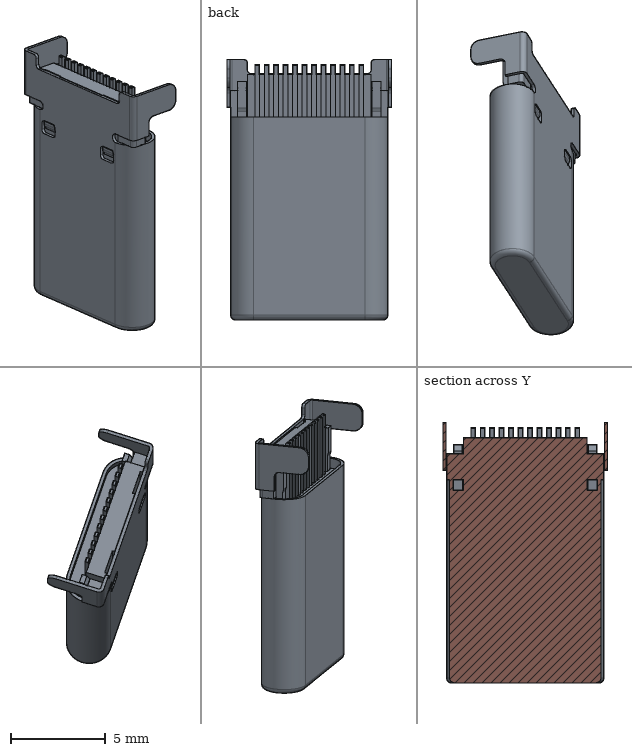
import cadquery as cq


shell_width = 8.3
shell_depth = 2.4
shell_top = 10.72
sheet = 0.18
nose_fillet = 0.28
mouth_depth = 0.55
front_y = -shell_depth / 2
plate_inner_y = front_y + sheet
shell_flat_half = (shell_width - shell_depth) / 2

cover_width = 8.7
cover_top = 13.75
cover_bottom = 11.22
bend_radius = 0.29
ear_reach = 3.05
ear_height = 1.47
ear_corner = 0.5
neck_back_y = -0.07
neck_fillet = 0.3
notch_half = 3.26
notch_depth = 0.74
notch_fillet = 0.19
ear_bottom = cover_top - ear_height
notch_floor = cover_top - notch_depth

slot_height = cover_bottom - shell_top
slot_end_x = 2.74

block_top = 12.95
block_clearance = 0.03
block_front_y = plate_inner_y + block_clearance
block_bottom = shell_top - mouth_depth
block_half = 3.26
block_back_y = 0.05
shoulder_half = cover_width / 2 - sheet - block_clearance
shoulder_top = 12.1
shoulder_back_y = -0.16
shoulder_fillet = 0.2

groove_width = 1.26
groove_depth = 0.12
groove_x = shell_flat_half - groove_width / 2

pin_count = 12
pin_row_length = 5.5
pin_pitch = pin_row_length / (pin_count - 1)
pin_width = 0.25
pin_depth = 0.2
pin_top = 13.48
pin_chamfer = 0.04

finger_x = 3.55
finger_width = 0.45
finger_top = 12.58
finger_bevel_height = 0.33
finger_bevel_depth = 0.16
finger_foot_step = 0.05
finger_step_top = 11.19
finger_step_bottom = 11.01

window_x = 2.3
window_width = 1.03
window_bottom = 9.45
window_top = 10.18
window_fillet = 0.19
barb_width = 0.81
barb_bottom = 9.68
barb_flat_bottom = 9.91
barb_height = 0.12
barb_round = 0.3

SIDES = (-1, 1)


def box(x_min, x_max, y_min, y_max, z_min, z_max):
    """Axis-aligned block between the given limits."""
    size = (x_max - x_min, y_max - y_min, z_max - z_min)
    return cq.Workplane("XY").box(*size, centered=False).translate((x_min, y_min, z_min))


def make_shell():
    """Round-sided shell with a rounded nose and a shallow open rim."""
    body = cq.Workplane("XY").slot2D(shell_width, shell_depth).extrude(shell_top)
    body = body.edges("<Z").fillet(nose_fillet)
    mouth = (
        cq.Workplane("XY", origin=(0, 0, shell_top - mouth_depth))
        .slot2D(shell_width - 2 * sheet, shell_depth - 2 * sheet)
        .extrude(mouth_depth)
    )
    return body.cut(mouth)


def make_cover():
    """Sheet folded to a U, trimmed to the ear profile and notched at the top."""
    half = cover_width / 2
    back_y = front_y + ear_reach
    cover = box(-half, half, front_y, back_y, shell_top, cover_top)
    cover = cover.edges("|Z and <Y").fillet(bend_radius)
    inside = box(-half + sheet, half - sheet, plate_inner_y, back_y, shell_top, cover_top)
    cover = cover.cut(inside.edges("|Z and <Y").fillet(bend_radius - sheet))

    ear_gap = box(-half, half, neck_back_y, back_y, shell_top, ear_bottom)
    ear_gap = ear_gap.edges("|X and <Y and >Z").fillet(neck_fillet)
    cover = cover.cut(ear_gap)
    cover = cover.edges("|X and >Y").fillet(ear_corner)

    notch = box(-notch_half, notch_half, front_y, plate_inner_y, notch_floor, cover_top)
    notch = notch.edges("|Y and <Z").fillet(notch_fillet)
    cover = cover.cut(notch)
    horn_corners = cq.selectors.BoxSelector(
        (-notch_half - sheet / 2, front_y - sheet, cover_top - sheet / 2),
        (notch_half + sheet / 2, front_y + 2 * sheet, cover_top + sheet / 2),
    )
    cover = cover.edges("|Y").edges(horn_corners).fillet(notch_fillet)

    for side in SIDES:
        cover = cover.cut(make_relief(side))
    return cover


def make_relief(side):
    """Round-ended slot that frees the cover from the shell on one side."""
    reach = cover_width / 2 + slot_height - slot_end_x
    return (
        cq.Workplane("XZ", origin=(side * (slot_end_x + reach), 0, shell_top + slot_height / 2))
        .slot2D(2 * reach, slot_height)
        .extrude(ear_reach, both=True)
    )


def make_block():
    """Insulating block with lower side shoulders and two front grooves."""
    shoulders = box(
        -shoulder_half, shoulder_half, block_front_y, shoulder_back_y, shell_top, shoulder_top
    )
    shoulders = shoulders.edges("|Z and <Y").fillet(shoulder_fillet)
    block = box(-block_half, block_half, block_front_y, block_back_y, block_bottom, block_top)
    block = block.union(shoulders)
    for side in SIDES:
        groove = box(
            side * groove_x - groove_width / 2,
            side * groove_x + groove_width / 2,
            block_front_y,
            block_front_y + groove_depth,
            block_bottom,
            block_top,
        )
        block = block.cut(groove)
    return block


def make_pin(x):
    """Terminal lying on the back of the block, bevelled at its tip."""
    pin = box(
        x - pin_width / 2,
        x + pin_width / 2,
        block_back_y,
        block_back_y + pin_depth,
        block_bottom,
        pin_top,
    )
    return pin.faces(">Z").edges("|X").chamfer(pin_chamfer)


def make_finger(side):
    """Upright finger behind a shoulder, bevelled at the top and set in at its foot."""
    back_y = block_back_y + pin_depth
    foot_y = back_y - finger_foot_step
    profile = [
        (shoulder_back_y, block_bottom),
        (foot_y, block_bottom),
        (foot_y, finger_step_bottom),
        (back_y, finger_step_top),
        (back_y, finger_top),
        (shoulder_back_y + finger_bevel_depth, finger_top),
        (shoulder_back_y, finger_top - finger_bevel_height),
    ]
    return (
        cq.Workplane("YZ", origin=(side * finger_x - finger_width / 2, 0, 0))
        .polyline(profile)
        .close()
        .extrude(finger_width)
    )


def make_window(side):
    """Rounded window through the front sheet."""
    window = box(
        side * window_x - window_width / 2,
        side * window_x + window_width / 2,
        front_y,
        plate_inner_y,
        window_bottom,
        window_top,
    )
    return window.edges("|Y").fillet(window_fillet)


def make_barb(side):
    """Latch barb inside a window: flat crest above a ramp."""
    crest_y = plate_inner_y - barb_height
    profile = [
        (plate_inner_y, barb_bottom),
        (crest_y, barb_flat_bottom),
        (crest_y, window_top),
        (plate_inner_y, window_top),
    ]
    barb = (
        cq.Workplane("YZ", origin=(side * window_x - barb_width / 2, 0, 0))
        .polyline(profile)
        .close()
        .extrude(barb_width)
    )
    return barb.edges("|X and <Y").edges("<Z").fillet(barb_round)


result = make_shell().union(make_cover()).union(make_block())
for index in range(pin_count):
    result = result.union(make_pin(index * pin_pitch - pin_row_length / 2))
for side in SIDES:
    result = result.union(make_finger(side)).cut(make_window(side)).union(make_barb(side))